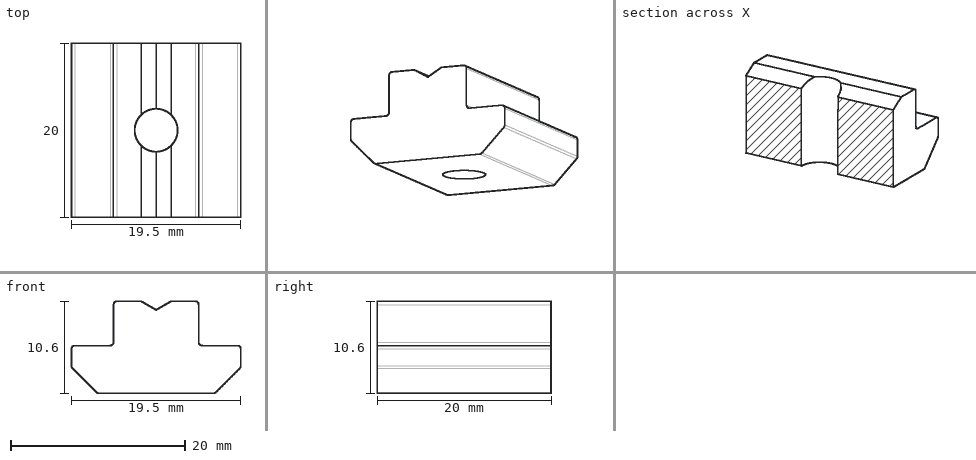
import cadquery as cq
import math

base_width = 19.5
length = 20.0
height = 10.6
shoulder_height = 5.5
stem_width = 9.8
bottom_chamfer = 3.0
edge_radius = 0.4
groove_depth = 1.0
groove_angle = 120.0
hole_diameter = 4.917

base_half = base_width / 2
stem_half = stem_width / 2
bottom_half = base_half - bottom_chamfer
groove_half = groove_depth * math.tan(math.radians(groove_angle / 2))


def make_body():
    """T-shaped bar along Y with every lengthwise profile corner rounded."""
    right_side = [
        (bottom_half, 0),
        (base_half, bottom_chamfer),
        (base_half, shoulder_height),
        (stem_half, shoulder_height),
        (stem_half, height),
    ]
    left_side = [(-x, z) for x, z in reversed(right_side)]
    bar = cq.Workplane("XZ").polyline(right_side + left_side).close().extrude(length / 2, both=True)
    return bar.edges("|Y").fillet(edge_radius)


def make_groove():
    """V-shaped prism for the groove along the middle of the top face."""
    profile = [
        (-groove_half, height),
        (0, height - groove_depth),
        (groove_half, height),
    ]
    return cq.Workplane("XZ").polyline(profile).close().extrude(length / 2, both=True)


def make_hole():
    """Vertical cylinder for the central through hole."""
    return cq.Workplane("XY").circle(hole_diameter / 2).extrude(height)


result = make_body().cut(make_groove()).cut(make_hole())